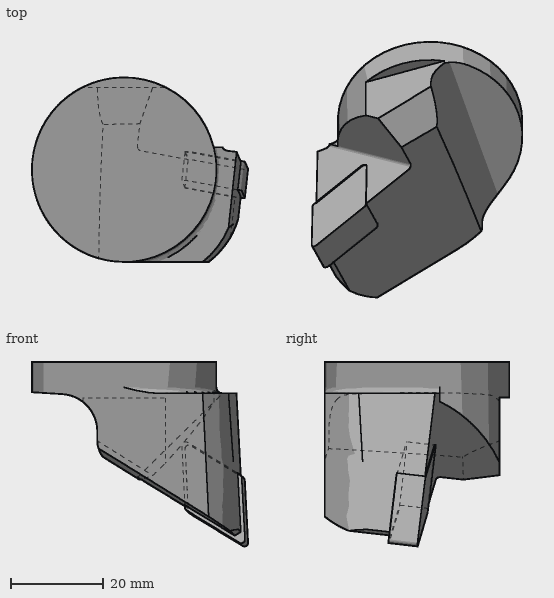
import cadquery as cq
import math


disc_diameter = 40.0
disc_radius = disc_diameter / 2
head_height = 40.0
reach_x = 26.87
blank_depth = head_height + 5.0
overrun = 60.0

ceiling_angle = math.radians(3.5)
neck_x = -5.85
ceiling_radius = 8.0
ceiling_arc_end_z = -15.0
heel_start_z = -16.96
heel_radius = 6.0
heel_start_angle = math.pi
heel_end_angle = math.radians(235)

back_flat_y = 17.9
back_flange_thickness = 7.75

lobe_top_z = -6.8
lobe_fillet = 1.25
lobe_clearance = math.tan(math.radians(2.8))
lobe_arc_start = (17.0, -disc_radius)
lobe_arc_middle = (20.6, -16.2)
lobe_arc_end = (23.4, -10.3)
lobe_outer_x = disc_radius + 6.0
lobe_back_y = 4.9

heel_relief_start_y = 9.1
heel_relief_z = -23.75
heel_slope_x = -0.628
heel_slope_y = 0.344

insert_angle = 55.0
inscribed_diameter = 12.7
insert_thickness = 6.35
nose_radius = 0.8
insert_edge = inscribed_diameter / math.sin(math.radians(insert_angle))
half_angle = math.radians(insert_angle / 2)

rake_tilt = math.tan(math.radians(6.5))
rake_normal = cq.Vector(rake_tilt, 1.0, -rake_tilt).normalized()
nose_extent = nose_radius * math.sqrt(1 - rake_normal.x**2)
nose_y = 0.2
nose_centre = cq.Vector(reach_x - nose_extent, nose_y, -head_height + nose_extent)
rake_x = cq.Vector(1, 0, 0) - rake_normal * rake_normal.x
rake_plane = cq.Plane(origin=nose_centre, xDir=rake_x, normal=-rake_normal)

side_edge_angle = math.radians(93.0)
end_edge_angle = side_edge_angle + 2 * half_angle
bisector_angle = side_edge_angle + half_angle

edge_setback = 0.8
nose_flat_leg = 1.66
flank_setback = 0.2
gullet_fillet = 1.0
gullet_start = (-24.0, 14.2)
gullet_wall_angle = math.radians(44.2)


def polar(start, angle, length):
    return (start[0] + length * math.cos(angle), start[1] + length * math.sin(angle))


def wedge_tip(setback):
    """Sharp corner of the insert outline, moved inward by a setback of both edges."""
    return polar((0, 0), bisector_angle, (setback - nose_radius) / math.sin(half_angle))


def make_insert():
    """Rhombic insert, from the rake face down to its seat."""
    tip = wedge_tip(0)
    side_corner = polar(tip, side_edge_angle, insert_edge)
    end_corner = polar(tip, end_edge_angle, insert_edge)
    far_corner = polar(side_corner, end_edge_angle, insert_edge)
    rhombus = cq.Workplane(rake_plane).polyline([tip, side_corner, far_corner, end_corner]).close()
    corners = cq.selectors.ParallelDirSelector(rake_normal)
    return rhombus.extrude(insert_thickness).edges(corners).fillet(nose_radius)


def make_lobe():
    """Lobe whose side walls lean outward with depth."""
    outline = (
        cq.Workplane("XY", origin=(0, 0, lobe_top_z))
        .moveTo(-lobe_outer_x, -disc_radius)
        .lineTo(*lobe_arc_start)
        .threePointArc(lobe_arc_middle, lobe_arc_end)
        .lineTo(lobe_outer_x, lobe_arc_end[1])
        .lineTo(lobe_outer_x, lobe_back_y)
        .lineTo(-lobe_outer_x, lobe_back_y)
        .close()
        .wire()
        .val()
    )
    depth = blank_depth + lobe_top_z
    return cq.Workplane(cq.Solid.extrudeLinear(outline, [], cq.Vector(lobe_clearance * depth, 0, -depth)))


def make_fillet_ring():
    """Concave ring between the disc wall and the lobe top."""
    outer = disc_radius + lobe_fillet
    bend = lobe_fillet * (1 - math.sqrt(0.5))
    return (
        cq.Workplane("XZ")
        .moveTo(0, lobe_top_z)
        .lineTo(outer, lobe_top_z)
        .threePointArc((disc_radius + bend, lobe_top_z + bend), (disc_radius, lobe_top_z + lobe_fillet))
        .lineTo(0, lobe_top_z + lobe_fillet)
        .close()
        .revolve(360, (0, 0), (0, 1))
    )


def make_lobe_side():
    """Quadrant that holds the lobe, ending flush with the flat -Y side of the blank."""
    quadrant = cq.Workplane("XY").box(overrun, disc_radius + lobe_back_y, blank_depth, centered=False)
    return quadrant.translate((0, -disc_radius, -blank_depth))


def make_neck_relief():
    """Space under the disc on the -X side, with its concave and convex bends."""
    ceiling_centre = (neck_x - ceiling_radius, ceiling_arc_end_z)
    tangent = polar(ceiling_centre, math.pi / 2 - ceiling_angle, ceiling_radius)
    arc_middle = polar(ceiling_centre, math.pi / 4, ceiling_radius)
    ceiling_left = polar(tangent, math.pi - ceiling_angle, disc_radius)
    heel_centre = (neck_x + heel_radius, heel_start_z)
    heel_middle = polar(heel_centre, (heel_start_angle + heel_end_angle) / 2, heel_radius)
    heel_end = polar(heel_centre, heel_end_angle, heel_radius)
    return (
        cq.Workplane("XZ")
        .moveTo(*ceiling_left)
        .lineTo(*tangent)
        .threePointArc(arc_middle, (neck_x, ceiling_arc_end_z))
        .lineTo(neck_x, heel_start_z)
        .threePointArc(heel_middle, heel_end)
        .lineTo(heel_end[0], -overrun)
        .lineTo(ceiling_left[0], -overrun)
        .close()
        .extrude(overrun, both=True)
    )


def make_back_flat():
    """Everything beyond the flat and below the disc."""
    space = cq.Workplane("XY").box(2 * overrun, overrun, overrun, centered=(True, False, False))
    return space.translate((0, back_flat_y, -back_flange_thickness - overrun))


def make_heel_relief():
    """Everything below the relief plane that rises toward +Y."""
    down = cq.Vector(heel_slope_x, heel_slope_y, -1)
    plane = cq.Plane(origin=(0, heel_relief_start_y, heel_relief_z), xDir=(0, 1, heel_slope_y), normal=down)
    return cq.Workplane(plane).rect(2 * overrun, 2 * overrun).extrude(overrun)


def make_head_envelope():
    """Wedge parallel to the insert edges that bounds the underside and the +X side."""
    tip = wedge_tip(edge_setback)
    side_start = polar(tip, side_edge_angle, nose_flat_leg)
    side_end = polar(tip, side_edge_angle, overrun)
    far_corner = polar(side_end, end_edge_angle, overrun)
    end_end = polar(tip, end_edge_angle, overrun)
    end_start = polar(tip, end_edge_angle, nose_flat_leg)
    corners = [side_start, side_end, far_corner, end_end, end_start]
    outline = cq.Workplane(rake_plane).polyline(corners).close()
    return outline.extrude(overrun, both=True)


def make_gullet():
    """Chip space in front of the rake face, with a rounded corner at its wall."""
    wall_low = polar(gullet_start, gullet_wall_angle, -overrun)
    wall_high = polar(gullet_start, gullet_wall_angle, overrun)
    floor = rake_plane.origin - rake_normal * flank_setback
    floor_plane = cq.Plane(origin=floor, xDir=rake_x, normal=-rake_normal)
    outer_low = polar(wall_low, gullet_wall_angle - math.pi / 2, overrun)
    outer_high = polar(wall_high, gullet_wall_angle - math.pi / 2, overrun)
    outline = cq.Workplane(floor_plane).polyline([wall_low, wall_high, outer_high, outer_low]).close()
    space = outline.extrude(-overrun)
    corner = floor_plane.toWorldCoords(gullet_start)
    return space.edges(cq.selectors.NearestToPointSelector(corner)).fillet(gullet_fillet)


insert = make_insert()

body = cq.Workplane("XY").circle(disc_radius).extrude(-blank_depth)
body = body.union(make_lobe().union(make_fillet_ring()).intersect(make_lobe_side()))
body = body.cut(make_neck_relief()).cut(make_back_flat()).cut(make_heel_relief())
body = body.intersect(make_head_envelope())
body = body.cut(make_gullet()).cut(insert)

result = cq.Compound.makeCompound([*body.vals(), insert.val()])